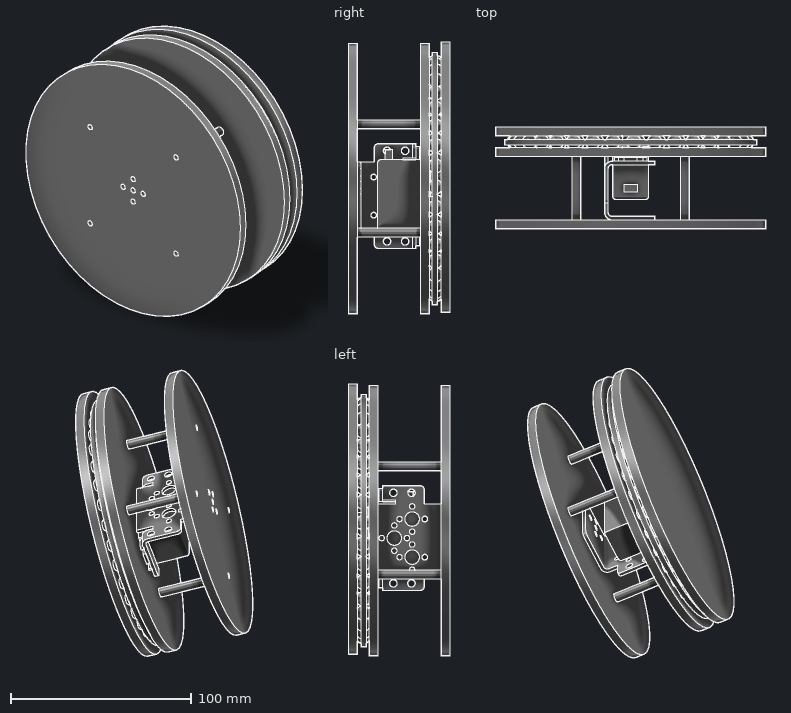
import cadquery as cq
import math

plate_dia = 150.0
plate_thick = 5.0
rod_length = 35.0
bearing_gap = 6.5
turntable_lift = 0.77
front_plate_back = plate_thick
middle_plate_front = front_plate_back + rod_length
middle_plate_back = middle_plate_front + plate_thick
turntable_front = middle_plate_back + bearing_gap

rod_dia = 5.0
rod_spacing = 60.0
plate_hole_dia = 3.0
center_hole_radius = 7.0

cage_outer_dia = 140.0
cage_inner_dia = 118.0
cage_thick = 3.0
ball_dia = 8.0
ball_count = 35
ball_pitch_dia = (cage_outer_dia + cage_inner_dia) / 2
ball_pitch_angle = 360.0 / ball_count
first_ball_angle = 1.5
bearing_mid = middle_plate_back + bearing_gap / 2
cage_clearance = 1.4
cage_front = middle_plate_back + cage_clearance

horn_dia = 20.0
horn_thick = 2.0
horn_clearance = 0.5
hub_dia = 9.0

servo_center_z = -9.7
sheet = 2.0
bend_outer = 4.0
bend_inner = bend_outer - sheet
web_left = -14.4
flange_end = 13.5
flange_corner = 3.2
flange_top = 37.5
web_half = 18.9
bracket_half = 29.1
tab_front = 14.3
tab_corner = 2.5
slot_half_inner = web_half
slot_half_outer = 21.0
slot_front = 30.4
tab_hole_dia = 4.0
tab_hole_half = 25.1
tab_hole_ys = (31.5, 21.5)
big_hole_dia = 8.0
small_hole_dia = 3.0
small_hole_radius = 7.0
pattern_single_y = 31.0
pattern_pair_y = 21.1
pattern_pair_half = 10.55

servo_width = 20.0
servo_length = 40.5
servo_front = 16.2
servo_fillet = 2.0
ear_width = 18.0
ear_length = 55.2
ear_thick = 2.0
ear_corner = 1.8
ear_slot_width = 3.2
ear_slot_half = 5.25
ear_slot_depth = 5.0
cable_width = 7.6
cable_front = 20.4
cable_back = 24.6
cable_top = 16.0


def box(x0, x1, y0, y1, z0, z1):
    """Axis-aligned block between two corners."""
    return cq.Workplane("XY").box(x1 - x0, y1 - y0, z1 - z0, centered=False).translate((x0, y0, z0))


def disc(diameter, y0, y1, x=0.0, z=0.0):
    """Cylinder along Y from y0 to y1."""
    return cq.Workplane("XZ", origin=(x, y0, z)).circle(diameter / 2).extrude(y0 - y1)


def cross_hole(diameter, y, z):
    """Cutter along X through the bracket web."""
    start = web_left - sheet
    return cq.Workplane("YZ", origin=(start, y, z)).circle(diameter / 2).extrude(3 * sheet)


def make_rods():
    rods = cq.Workplane("XZ", origin=(0, front_plate_back, 0))
    rods = rods.rect(rod_spacing, rod_spacing, forConstruction=True).vertices()
    return rods.circle(rod_dia / 2).extrude(-rod_length)


def make_bearing():
    cage_back = cage_front + cage_thick
    bearing = disc(cage_outer_dia, cage_front, cage_back)
    bearing = bearing.cut(disc(cage_inner_dia, cage_front, cage_back))
    for i in range(ball_count):
        angle = math.radians(first_ball_angle + i * ball_pitch_angle)
        x = ball_pitch_dia / 2 * math.sin(angle)
        z = ball_pitch_dia / 2 * math.cos(angle)
        ball = cq.Workplane("XY").sphere(ball_dia / 2).translate((x, bearing_mid, z))
        bearing = bearing.union(ball)
    return bearing


def bent_angle(z0, z1):
    """Web with the servo flange bent from its back end, spanning z0 to z1."""
    profile = (
        cq.Workplane("XY", origin=(0, 0, z0))
        .moveTo(web_left, tab_front)
        .lineTo(web_left, flange_top - bend_outer)
        .radiusArc((web_left + bend_outer, flange_top), bend_outer)
        .lineTo(flange_end, flange_top)
        .lineTo(flange_end, flange_top - sheet)
        .lineTo(web_left + bend_outer, flange_top - sheet)
        .radiusArc((web_left + sheet, flange_top - bend_outer), -bend_inner)
        .lineTo(web_left + sheet, tab_front)
        .close()
    )
    return profile.extrude(z1 - z0)


def make_tab(side):
    """Mounting tab above (side = 1) or below (side = -1) the central web."""
    inner = servo_center_z + side * slot_half_outer
    outer = servo_center_z + side * bracket_half
    outer_face = ">Z" if side > 0 else "<Z"
    tab = bent_angle(min(inner, outer), max(inner, outer))
    tab = tab.edges("|Y").edges(">X").edges(outer_face).fillet(flange_corner)
    tab = tab.edges("|X").edges("<Y").edges(outer_face).fillet(tab_corner)
    root = servo_center_z + side * slot_half_inner
    tab = tab.union(box(web_left, web_left + sheet, tab_front, slot_front, min(root, inner), max(root, inner)))
    for y in tab_hole_ys:
        tab = tab.cut(cross_hole(tab_hole_dia, y, servo_center_z + side * tab_hole_half))
    return tab


def make_web():
    """Central web with the foot flange bent along the front plate."""
    foot = front_plate_back
    profile = (
        cq.Workplane("XY", origin=(0, 0, servo_center_z - web_half))
        .moveTo(web_left, middle_plate_front)
        .lineTo(web_left, foot + bend_outer)
        .radiusArc((web_left + bend_outer, foot), -bend_outer)
        .lineTo(flange_end, foot)
        .lineTo(flange_end, foot + sheet)
        .lineTo(web_left + bend_outer, foot + sheet)
        .radiusArc((web_left + sheet, foot + bend_outer), bend_inner)
        .lineTo(web_left + sheet, middle_plate_front)
        .close()
    )
    web = profile.extrude(2 * web_half)
    return web.edges("|Y").edges(">X").fillet(flange_corner)


def cut_hole_patterns(bracket):
    """Three large holes, each ringed by four small ones."""
    centers = [
        (pattern_single_y, servo_center_z),
        (pattern_pair_y, servo_center_z + pattern_pair_half),
        (pattern_pair_y, servo_center_z - pattern_pair_half),
    ]
    r = small_hole_radius
    for y, z in centers:
        bracket = bracket.cut(cross_hole(big_hole_dia, y, z))
        for dy, dz in ((r, 0), (-r, 0), (0, r), (0, -r)):
            bracket = bracket.cut(cross_hole(small_hole_dia, y + dy, z + dz))
    return bracket


def make_bracket():
    bracket = make_web().union(make_tab(1)).union(make_tab(-1))
    return cut_hole_patterns(bracket)


def make_servo():
    half_width = servo_width / 2
    body_top = servo_center_z + servo_length / 2
    body_bottom = servo_center_z - servo_length / 2
    body = box(-half_width, half_width, servo_front, middle_plate_front, body_bottom, body_top)
    body = body.faces("<Y").edges().fillet(servo_fillet)

    ear_end = ear_length / 2
    ears = box(
        -ear_width / 2, ear_width / 2, flange_top, flange_top + ear_thick,
        servo_center_z - ear_end, servo_center_z + ear_end,
    )
    ears = ears.edges("|Y").fillet(ear_corner)
    slots = (
        cq.Workplane("XZ", origin=(0, flange_top, servo_center_z))
        .pushPoints([(sx * ear_slot_half, sz * ear_end) for sx in (-1, 1) for sz in (-1, 1)])
        .slot2D(2 * ear_slot_depth, ear_slot_width, 90)
        .extrude(-ear_thick)
    )
    cable = box(-cable_width / 2, cable_width / 2, cable_front, cable_back, servo_center_z, cable_top)
    return body.union(ears.cut(slots)).union(cable)


def front_hole_cutters():
    """Rod screw holes in the plate, and the centre cross that also pierces the bracket foot."""
    half = rod_spacing / 2
    r = center_hole_radius
    cutters = disc(plate_hole_dia, 0, front_plate_back + sheet)
    for x, z in ((r, 0), (-r, 0), (0, r), (0, -r)):
        cutters = cutters.union(disc(plate_hole_dia, 0, front_plate_back + sheet, x, z))
    for x in (-half, half):
        for z in (-half, half):
            cutters = cutters.union(disc(plate_hole_dia, 0, front_plate_back, x, z))
    return cutters


def make_hub():
    """Servo shaft hub with its round horn, joining the middle plate to the turntable."""
    horn_front = middle_plate_back + horn_clearance
    horn = disc(horn_dia, horn_front, horn_front + horn_thick)
    return disc(hub_dia, middle_plate_back, turntable_front).union(horn)


front_plate = disc(plate_dia, 0, front_plate_back)
middle_plate = disc(plate_dia, middle_plate_front, middle_plate_back)
turntable = disc(plate_dia, turntable_front, turntable_front + plate_thick, z=turntable_lift)

base = front_plate.union(make_rods()).union(middle_plate).union(make_bracket()).union(make_servo())
result = base.cut(front_hole_cutters()).union(make_bearing()).union(make_hub()).union(turntable)